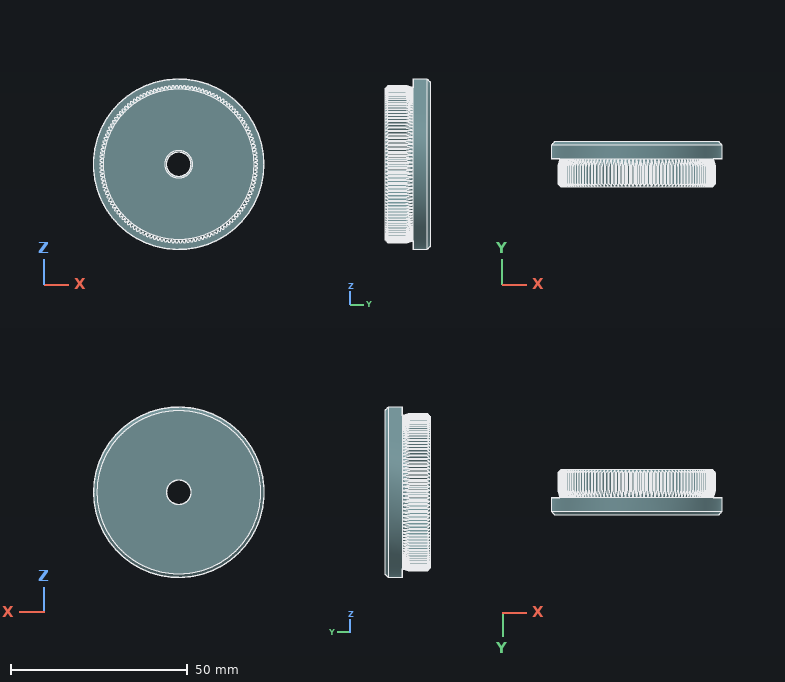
import cadquery as cq
import math

flange_radius = 24.15
knurl_radius = 22.3
bore_radius = 3.45

total_length = 13.0
flange_length = 4.97
knurl_length = total_length - flange_length

edge_chamfer = 1.0
bore_chamfer = 0.5

taper_length = 2.13
taper_depth = 0.65

tooth_count = 130
groove_depth = 0.72
land_width = 0.3


def revolve_about_y(profile):
    """Spin a closed XY profile, drawn as (radius, y) points, about the Y axis."""
    return cq.Workplane("XY").polyline(profile).close().revolve(360, (0, 0, 0), (0, 1, 0))


def flange():
    """Plain disc from y = 0 to its chamfered back face."""
    return revolve_about_y([
        (0, 0),
        (flange_radius, 0),
        (flange_radius, flange_length - edge_chamfer),
        (flange_radius - edge_chamfer, flange_length),
        (0, flange_length),
    ])


def knurl_blank():
    """Turned body of the knurled section, from the flange to the chamfered front face."""
    return revolve_about_y([
        (0, 0),
        (knurl_radius - taper_depth, 0),
        (knurl_radius, -taper_length),
        (knurl_radius, edge_chamfer - knurl_length),
        (knurl_radius - edge_chamfer, -knurl_length),
        (0, -knurl_length),
    ])


def polar(radius, angle):
    return (radius * math.cos(angle), radius * math.sin(angle))


def toothed_bar():
    """Bar with the knurl cross-section, with one groove pointing along +Z."""
    pitch = 2 * math.pi / tooth_count
    half_land = land_width / knurl_radius / 2
    root_radius = knurl_radius - groove_depth
    first_root = math.pi / 2

    outline = cq.Workplane("XZ").moveTo(*polar(root_radius, first_root))
    for tooth in range(tooth_count):
        middle = first_root + (tooth + 0.5) * pitch
        outline = outline.lineTo(*polar(knurl_radius, middle - half_land))
        outline = outline.threePointArc(
            polar(knurl_radius, middle),
            polar(knurl_radius, middle + half_land),
        )
        if tooth < tooth_count - 1:
            outline = outline.lineTo(*polar(root_radius, middle + pitch / 2))
    return outline.close().extrude(knurl_length)


def bore():
    """Through hole with a countersink at the front face."""
    return revolve_about_y([
        (0, -knurl_length),
        (bore_radius + bore_chamfer, -knurl_length),
        (bore_radius, bore_chamfer - knurl_length),
        (bore_radius, flange_length),
        (0, flange_length),
    ])


knurled_section = knurl_blank().intersect(toothed_bar())
result = flange().union(knurled_section).cut(bore())